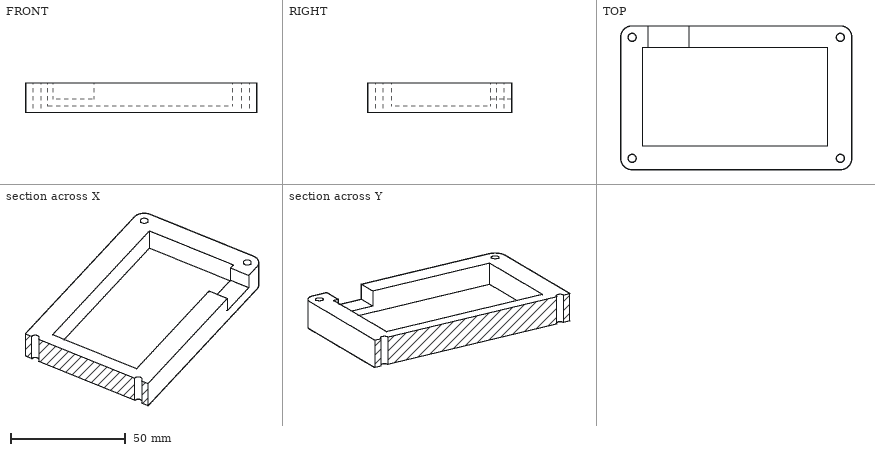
import cadquery as cq

length = 101.0
width = 62.9
height = 13.0
corner_radius = 5.0

hole_diameter = 3.4

pocket_length = 80.7
pocket_width = 43.0
pocket_depth = 10.0
pocket_left_wall = 9.6
pocket_back_wall = 9.4

notch_width = 17.9
notch_depth = 7.1
notch_left_offset = 12.0


def top_cut(left, back, cut_length, cut_width, depth):
    """Box reaching down from the top face, placed by its left and back offsets from the block."""
    return (
        cq.Workplane("XY")
        .box(cut_length, cut_width, depth, centered=False)
        .translate((left - length / 2, width / 2 - back - cut_width, height - depth))
    )


block = (
    cq.Workplane("XY")
    .box(length, width, height, centered=(True, True, False))
    .edges("|Z")
    .fillet(corner_radius)
)

pocket = top_cut(pocket_left_wall, pocket_back_wall, pocket_length, pocket_width, pocket_depth)
notch = top_cut(notch_left_offset, 0, notch_width, pocket_back_wall, notch_depth)

result = (
    block.cut(pocket)
    .cut(notch)
    .faces("<Z")
    .workplane()
    .rect(length - 2 * corner_radius, width - 2 * corner_radius, forConstruction=True)
    .vertices()
    .hole(hole_diameter)
)